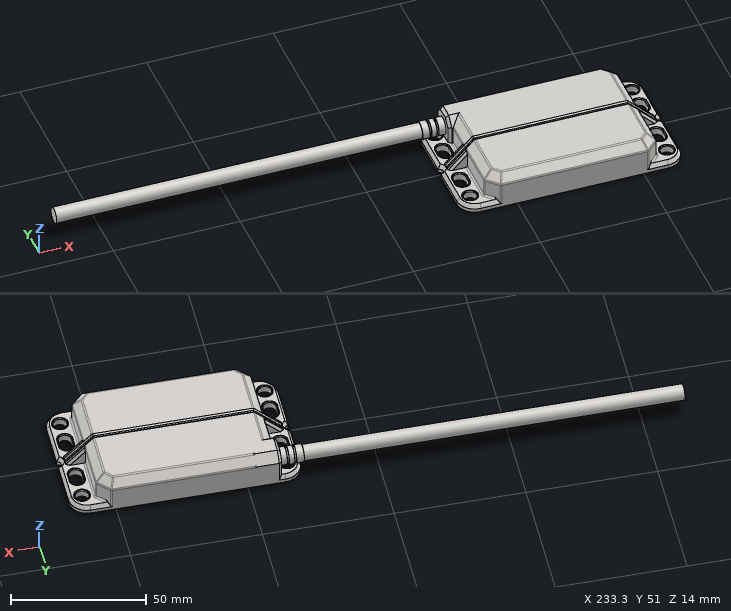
import cadquery as cq
import math

OVERALL_LENGTH = 233.3

PLATE_LENGTH = 88.0
PLATE_WIDTH = 51.0
PLATE_HEIGHT = 3.3
PLATE_CORNER_RADIUS = 7.0
PLATE_EDGE_HEIGHT = 1.6
PLATE_CHAMFER = 1.2
END_NOTCH_RADIUS = 1.5

HOUSING_LENGTH = 68.1
HOUSING_HEIGHT = 14.0
HOUSING_CORNER_CHAMFER = 5.0
HOUSING_TOP_CHAMFER = 3.5
HOUSING_EDGE_RADIUS = 1.0
HOUSING_FOOT_RADIUS = 0.7
GROOVE_WIDTH = 2.0
GROOVE_FLOOR_WIDTH = 0.7
GROOVE_DEPTH = 0.5

GUSSET_WIDTH = 5.8
GUSSET_CHAMFER = 1.0

HOLE_EDGE_DISTANCE = 5.1
ROUND_HOLE_Y = 19.0
ROUND_HOLE_DIAMETER = 6.3
SLOT_Y = 9.0
SLOT_WIDTH = 6.0
SLOT_LENGTH = 9.0
SLOT_ANGLE = 90
SLEEVE_WALL = 0.58
SLEEVE_CHAMFER = 0.35

CABLE_Y = ROUND_HOLE_Y
CABLE_Z = 7.2
CABLE_DIAMETER = 6.3
BLOCK_FACE_X = -35.7
BLOCK_FACE_CHAMFER = 1.2
GLAND_DIAMETER = 7.0
GLAND_START_X = -44.8
GLAND_GROOVE_WIDTH = 0.7
GLAND_GROOVE_DEPTH = 0.5
GLAND_GROOVE_XS = (-41.5, -38.7)

CABLE_END_X = PLATE_LENGTH / 2 - OVERALL_LENGTH
BLOCK_WIDTH = 2 * (PLATE_WIDTH / 2 - CABLE_Y)
GUSSET_RISE = HOUSING_HEIGHT - HOUSING_TOP_CHAMFER - PLATE_HEIGHT
GUSSET_REACH = HOUSING_LENGTH / 2 + GUSSET_RISE
HOLE_X = PLATE_LENGTH / 2 - HOLE_EDGE_DISTANCE
ENDS = (-1, 1)
SIDES = (-1, 1)
HEIGHT_TOLERANCE = 0.02


def x_cylinder(diameter, start_x, end_x):
    """A cylinder on the cable axis."""
    start = cq.Workplane("YZ", origin=(start_x, CABLE_Y, CABLE_Z))
    return start.circle(diameter / 2).extrude(end_x - start_x)


def make_plate():
    """A rounded plate with a notch at each end, its upper edge sloping inward all round."""
    slope_height = PLATE_HEIGHT - PLATE_EDGE_HEIGHT
    slope_angle = math.degrees(math.atan(PLATE_CHAMFER / slope_height))
    notches = (
        cq.Workplane("XY")
        .pushPoints([(end * PLATE_LENGTH / 2, 0) for end in ENDS])
        .circle(END_NOTCH_RADIUS)
        .extrude(PLATE_EDGE_HEIGHT)
    )
    return (
        cq.Workplane("XY")
        .box(PLATE_LENGTH, PLATE_WIDTH, PLATE_EDGE_HEIGHT, centered=(True, True, False))
        .edges("|Z")
        .fillet(PLATE_CORNER_RADIUS)
        .cut(notches)
        .faces(">Z")
        .wires()
        .toPending()
        .workplane()
        .extrude(slope_height, taper=slope_angle)
    )


def make_raised_body():
    """The box with bevelled corners and top, all its edges softened."""
    return (
        cq.Workplane("XY")
        .box(HOUSING_LENGTH, PLATE_WIDTH, HOUSING_HEIGHT, centered=(True, True, False))
        .edges("|Z")
        .chamfer(HOUSING_CORNER_CHAMFER)
        .faces(">Z")
        .chamfer(HOUSING_TOP_CHAMFER)
        .edges("not <Z")
        .fillet(HOUSING_EDGE_RADIUS)
    )


def make_cable_block():
    """The block behind the gland, running from its end face into the raised body."""
    block_end_x = -HOUSING_LENGTH / 2 + HOUSING_CORNER_CHAMFER + HOUSING_TOP_CHAMFER
    return (
        cq.Workplane("XY")
        .box(block_end_x - BLOCK_FACE_X, BLOCK_WIDTH, HOUSING_HEIGHT, centered=False)
        .translate((BLOCK_FACE_X, CABLE_Y - BLOCK_WIDTH / 2, 0))
        .edges(">Z and |X")
        .chamfer(HOUSING_TOP_CHAMFER)
        .faces("<X")
        .edges("not <Z")
        .chamfer(BLOCK_FACE_CHAMFER)
    )


def round_foot(housing):
    """Fillet the corner where the end walls stand on the plate."""
    reach_x = HOUSING_LENGTH / 2 + HOUSING_FOOT_RADIUS
    reach_y = PLATE_WIDTH / 2 - PLATE_CHAMFER - HOUSING_FOOT_RADIUS
    foot = cq.selectors.BoxSelector(
        (-reach_x, -reach_y, PLATE_HEIGHT - HEIGHT_TOLERANCE),
        (reach_x, reach_y, PLATE_HEIGHT + HEIGHT_TOLERANCE),
    )
    return housing.edges(foot).fillet(HOUSING_FOOT_RADIUS)


def make_gusset(end):
    """A 45 degree web that carries on the slope of the housing's end chamfer."""
    gusset = (
        cq.Workplane("XZ")
        .moveTo(0, PLATE_HEIGHT)
        .lineTo(GUSSET_REACH, PLATE_HEIGHT)
        .lineTo(HOUSING_LENGTH / 2, PLATE_HEIGHT + GUSSET_RISE)
        .lineTo(0, PLATE_HEIGHT + GUSSET_RISE)
        .close()
        .extrude(GUSSET_WIDTH / 2, both=True)
        .faces("#Y and (not |X) and (not |Z)")
        .edges("not |Y")
        .chamfer(GUSSET_CHAMFER)
    )
    return gusset if end > 0 else gusset.mirror("YZ")


def groove_run(x, z, direction_x, direction_z, length):
    """A straight run of groove, starting on the surface at (x, z)."""
    plane = cq.Plane(origin=(x, 0, z), xDir=(0, 1, 0), normal=(direction_x, 0, direction_z))
    return (
        cq.Workplane(plane)
        .moveTo(-GROOVE_WIDTH / 2, 0)
        .lineTo(GROOVE_WIDTH / 2, 0)
        .lineTo(GROOVE_FLOOR_WIDTH / 2, -GROOVE_DEPTH)
        .lineTo(-GROOVE_FLOOR_WIDTH / 2, -GROOVE_DEPTH)
        .close()
        .extrude(length)
    )


def make_groove():
    """A shallow groove with sloping sides, up one gusset, along the top and down the other gusset."""
    slope_length = math.sqrt(2) * (HOUSING_HEIGHT - PLATE_HEIGHT)
    along_top = groove_run(-HOUSING_LENGTH / 2, HOUSING_HEIGHT, 1, 0, HOUSING_LENGTH)
    up_slope = groove_run(-GUSSET_REACH, PLATE_HEIGHT, 1, 1, slope_length)
    return along_top.union(up_slope).union(up_slope.mirror("YZ"))


def make_gland():
    """The grooved round neck between the cable end and the block."""
    gland = x_cylinder(GLAND_DIAMETER, GLAND_START_X, BLOCK_FACE_X)
    core_diameter = GLAND_DIAMETER - 2 * GLAND_GROOVE_DEPTH
    for groove_x in GLAND_GROOVE_XS:
        start_x = groove_x - GLAND_GROOVE_WIDTH / 2
        end_x = groove_x + GLAND_GROOVE_WIDTH / 2
        core = x_cylinder(core_diameter, start_x, end_x)
        ring = x_cylinder(GLAND_DIAMETER, start_x, end_x).cut(core)
        gland = gland.cut(ring)
    return gland


def hole_body(is_slot, x, y, inset):
    """The space of a mounting hole, shrunk by the inset all round."""
    sketch = cq.Workplane("XY").center(x, y)
    if is_slot:
        length = SLOT_LENGTH - 2 * inset
        width = SLOT_WIDTH - 2 * inset
        return sketch.slot2D(length, width, SLOT_ANGLE).extrude(PLATE_HEIGHT)
    return sketch.circle(ROUND_HOLE_DIAMETER / 2 - inset).extrude(PLATE_HEIGHT)


def make_sleeve(is_slot, x, y):
    """A lining flush with both plate faces, its bore widening at the top."""
    bore = hole_body(is_slot, x, y, SLEEVE_WALL)
    mouth = hole_body(is_slot, x, y, SLEEVE_WALL - SLEEVE_CHAMFER).faces("<Z").chamfer(SLEEVE_CHAMFER)
    mouth = mouth.translate((0, 0, PLATE_HEIGHT - SLEEVE_CHAMFER))
    return hole_body(is_slot, x, y, 0).cut(bore).cut(mouth)


def make_housing(holes):
    housing = round_foot(make_plate().union(make_raised_body()))
    housing = housing.union(make_cable_block())
    for end in ENDS:
        housing = housing.union(make_gusset(end))
    housing = housing.union(make_gland()).cut(make_groove())
    for is_slot, x, y in holes:
        housing = housing.cut(hole_body(is_slot, x, y, 0))
    return housing


hole_places = [
    (is_slot, end * HOLE_X, side * y)
    for end in ENDS
    for side in SIDES
    for is_slot, y in ((False, ROUND_HOLE_Y), (True, SLOT_Y))
]

housing = make_housing(hole_places)
cable = x_cylinder(CABLE_DIAMETER, CABLE_END_X, GLAND_START_X)
sleeves = [make_sleeve(is_slot, x, y).val() for is_slot, x, y in hole_places]

result = cq.Compound.makeCompound([housing.val(), cable.val(), *sleeves])